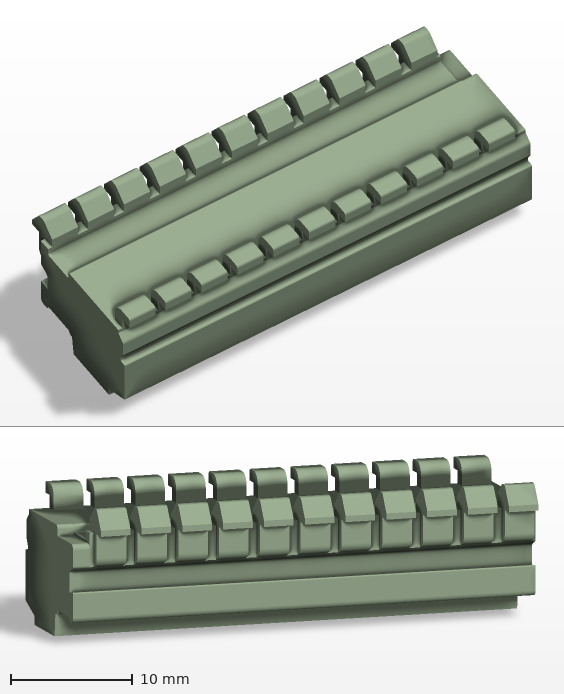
import cadquery as cq
import math

length = 40.0
total_width = 14.7
total_height = 11.5

wall_x = 1.95
neck_x = 2.9
lip_x = 3.05
lip_bottom_z = 6.55
neck_top_z = 6.1
neck_round = 0.25
foot_top_z = 4.5
foot_inner_z = 4.35
foot_bottom_z = 1.9
foot_end_x = 2.95
foot_round = 0.5
channel_floor_z = 8.7
channel_fillet = 0.15
step_x = 6.1
top_z = 9.45
belly_z = 2.3
belly_end_x = 6.1
keel_left_x = 6.9
keel_right_x = 12.2
keel_corner_x = 6.65
keel_corner_run = 0.25
skirt_x = 14.55
skirt_bottom_z = 1.65
skirt_top_z = 5.9
flare_z = 0.75
notch_x = 13.95
notch_top_z = 6.3
bead_x = 14.3
bead_bottom_z = 6.95
bead_top_z = 8.45
shoulder_z = 9.1
edge_round = 0.1
bead_round = 0.25
bead_top_round = 0.4
step_round = 0.25

end_length = 1.45
end_floor_z = 8.5
end_wall_round = 0.5
end_lip_round = 0.25
end_step_round = 0.35

hook_count = 11
hook_width = 2.55
first_hook_gap = 0.4
last_hook_gap = 1.75
hook_pitch = (length - first_hook_gap - last_hook_gap - hook_width) / (hook_count - 1)

left_stem_x = 1.1
left_stem_corner_z = 6.9
left_stem_round = 0.7
barb_side_z = 9.95
barb_apex_left_x = 1.1
barb_apex_right_x = 1.8
barb_right_z = 10.35
barb_round = 0.5

right_stem_left_x = 12.5
right_stem_right_x = 13.6
tongue_bottom_z = 10.5
right_hook_round = 1.05
tongue_round = 0.25


def round_corner(before, corner, after, radius):
    """Start, middle and end of the arc that rounds one corner of an outline."""
    def unit_towards(point):
        distance = math.dist(corner, point)
        return [(p - c) / distance for p, c in zip(point, corner)]

    to_before = unit_towards(before)
    to_after = unit_towards(after)
    half_angle = math.acos(sum(a * b for a, b in zip(to_before, to_after))) / 2
    setback = radius / math.tan(half_angle)
    middle_offset = radius / math.sin(half_angle) - radius
    bisector_length = 2 * math.cos(half_angle)
    start = tuple(c + setback * d for c, d in zip(corner, to_before))
    middle = tuple(
        c + middle_offset * (a + b) / bisector_length
        for c, a, b in zip(corner, to_before, to_after)
    )
    end = tuple(c + setback * d for c, d in zip(corner, to_after))
    return start, middle, end


def extrude_outline(corners, y_start, y_end):
    """Extrude an XZ outline of (x, z, corner radius) entries from y_start to y_end."""
    points = [(x, z) for x, z, _ in corners]
    sketch = cq.Workplane("XZ", origin=(0, y_start, 0)).moveTo(*points[0])
    for i in range(1, len(corners)):
        radius = corners[i][2]
        if radius == 0:
            sketch = sketch.lineTo(*points[i])
            continue
        following = points[(i + 1) % len(points)]
        start, middle, end = round_corner(points[i - 1], points[i], following, radius)
        sketch = sketch.lineTo(*start).threePointArc(middle, end)
    return sketch.close().extrude(y_start - y_end)


right_side = [
    (keel_left_x, 0, 0),
    (keel_right_x, 0, 0),
    (keel_right_x, flare_z, edge_round),
    (skirt_x, skirt_bottom_z, edge_round),
    (skirt_x, skirt_top_z, edge_round),
    (notch_x, skirt_top_z, edge_round),
    (notch_x, notch_top_z, edge_round),
    (bead_x, bead_bottom_z, bead_round),
    (bead_x, bead_top_z, bead_top_round),
    (right_stem_right_x, shoulder_z, 0),
    (right_stem_right_x, top_z, 0),
]

left_side = [
    (neck_x, neck_top_z, neck_round),
    (neck_x, foot_inner_z, 0),
    (wall_x, foot_top_z, edge_round),
    (wall_x, foot_bottom_z, foot_round),
    (foot_end_x, foot_bottom_z, edge_round),
    (foot_end_x, belly_z, edge_round),
    (belly_end_x, belly_z, 0),
    (keel_corner_x - keel_corner_run, foot_bottom_z, 0),
    (keel_corner_x, foot_bottom_z, 0),
]

main_top = [
    (step_x, top_z, step_round),
    (step_x, channel_floor_z, edge_round),
    (lip_x, channel_floor_z, channel_fillet),
    (lip_x, top_z, 0),
    (wall_x, top_z, 0),
    (wall_x, lip_bottom_z, 0),
]

end_top = [
    (step_x, top_z, end_step_round),
    (step_x, end_floor_z, 0),
    (wall_x, end_floor_z, end_wall_round),
    (wall_x, lip_bottom_z, end_lip_round),
]

left_hook = [
    (wall_x, top_z, 0),
    (lip_x, top_z, 0),
    (lip_x, barb_right_z, 0),
    (barb_apex_right_x, total_height, barb_round),
    (barb_apex_left_x, total_height, barb_round),
    (0, barb_side_z, 0),
    (0, top_z, 0),
    (left_stem_x, top_z, 0),
    (left_stem_x, left_stem_corner_z, left_stem_round),
    (wall_x, lip_bottom_z, 0),
]

right_hook = [
    (right_stem_left_x, top_z, 0),
    (right_stem_right_x, top_z, 0),
    (right_stem_right_x, tongue_bottom_z, 0),
    (total_width, tongue_bottom_z, 0),
    (total_width, total_height, tongue_round),
    (right_stem_left_x, total_height, right_hook_round),
]

front_y = -length / 2
back_y = length / 2
end_y = back_y - end_length
body = extrude_outline(right_side + main_top + left_side, front_y, end_y)
body = body.union(extrude_outline(right_side + end_top + left_side, end_y, back_y))

for index in range(hook_count):
    hook_y = front_y + first_hook_gap + index * hook_pitch
    for outline in (left_hook, right_hook):
        body = body.union(extrude_outline(outline, hook_y, hook_y + hook_width))

result = body